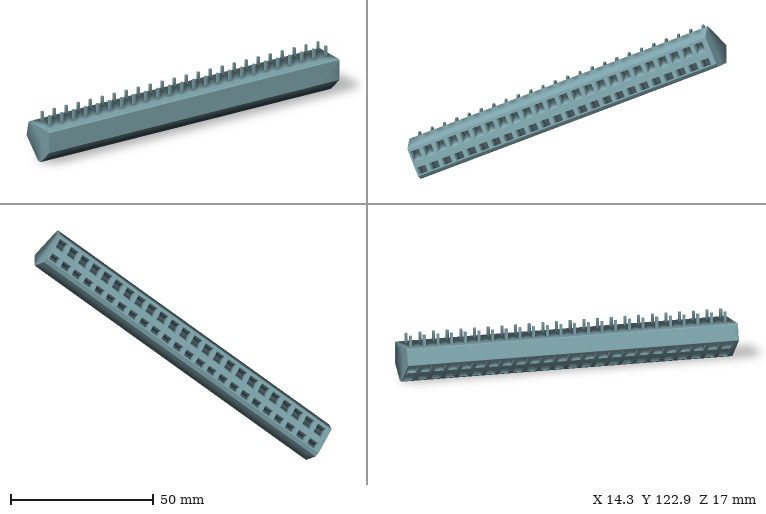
import cadquery as cq
import math

LENGTH = 122.9
WIDTH = 14.3
BODY_HEIGHT = 13.0
TOP_INSET = 1.4
TIP_HEIGHT = 7.3
RIGHT_WALL_FOOT = 5.2
KEEL_LEFT = TIP_HEIGHT
KEEL_RIGHT = 9.0
TOP_RADIUS = 0.4
TIP_RADIUS = 0.2

POLES = 24
POLE_SPAN = 116.8
POLE_OFFSET = 0.6

TOTAL_HEIGHT = 17.0
PIN_SIZE = 0.9
FIRST_PIN_X = 4.4
PIN_ROW_SPACING = 4.8
PIN_ROOT = 1.2

POCKET_WIDTH = 3.5
POCKET_DEPTH = 3.7
LOWER_START = 0.5
LOWER_HEIGHT = 2.5
UPPER_START = 5.4
UPPER_HEIGHT = 3.7
RAMP_ANGLE = 32.3

pole_pitch = POLE_SPAN / (POLES - 1)
pole_ys = [POLE_OFFSET - POLE_SPAN / 2 + i * pole_pitch for i in range(POLES)]


def make_housing():
    outline = [
        (KEEL_LEFT, 0),
        (KEEL_RIGHT, 0),
        (WIDTH, RIGHT_WALL_FOOT),
        (WIDTH, BODY_HEIGHT),
        (TOP_INSET, BODY_HEIGHT),
        (0, TIP_HEIGHT),
    ]
    prism = cq.Workplane("XZ").polyline(outline).close().extrude(LENGTH / 2, both=True)
    tip_rounded = prism.edges("|Y").edges("<X").fillet(TIP_RADIUS)
    return tip_rounded.edges("|Y").edges(">Z").fillet(TOP_RADIUS)


def add_pins(body):
    centres = [(FIRST_PIN_X + row * PIN_ROW_SPACING, y) for row in range(2) for y in pole_ys]
    root_plane = cq.Workplane("XY", origin=(0, 0, BODY_HEIGHT - PIN_ROOT))
    pins = root_plane.pushPoints(centres).rect(PIN_SIZE, PIN_SIZE)
    return body.union(pins.extrude(TOTAL_HEIGHT - BODY_HEIGHT + PIN_ROOT))


def cut_pockets(body, start, height, ramp_angle=0):
    """Cut one row of pockets; a ramp angle narrows them from below as they get deeper."""
    ramp_rise = POCKET_DEPTH * math.tan(math.radians(ramp_angle))
    outline = [
        (start, 0),
        (start + height, 0),
        (start + height, POCKET_DEPTH),
        (start + ramp_rise, POCKET_DEPTH),
    ]
    section = cq.Plane(origin=(KEEL_LEFT, 0, 0), xDir=(-1, 0, 1), normal=(0, 1, 0))
    pocket = cq.Workplane(section).polyline(outline).close().extrude(POCKET_WIDTH / 2, both=True)
    places = cq.Workplane("XY").pushPoints([(0, y) for y in pole_ys])
    return body.cut(places.eachpoint(pocket.val()))


result = make_housing()
result = cut_pockets(result, LOWER_START, LOWER_HEIGHT)
result = cut_pockets(result, UPPER_START, UPPER_HEIGHT, RAMP_ANGLE)
result = add_pins(result)